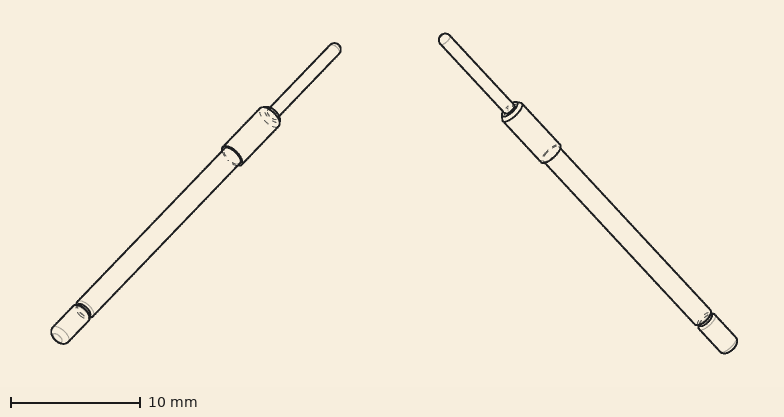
import cadquery as cq
import math

length = 35.3
front = length / 2
rear = -length / 2

pin_length = 8.33
pin_radius = 0.5
pin_tip_round = 0.45

collar_length = 5.0
collar_radius = 2.0 / 2
collar_chamfer_length = 0.32
collar_chamfer_depth = 0.2

barrel_radius = 1.65 / 2
barrel_end_round = 0.4
groove_center = rear + 3.2
groove_floor = 0.2
groove_shoulder = 0.18

collar_front = front - pin_length
collar_rear = collar_front - collar_length


def rod(radius, y_start, y_end):
    """Solid cylinder on the Y axis between two stations."""
    return cq.Workplane("XZ", origin=(0, y_end, 0)).circle(radius).extrude(y_end - y_start)


def crimp_groove():
    """Ring cutter with a narrow flat floor between two convex quarter-round shoulders."""
    half_floor = groove_floor / 2
    half_width = half_floor + groove_shoulder
    floor_radius = barrel_radius - groove_shoulder
    diagonal = groove_shoulder * math.sqrt(0.5)
    mid_radius = floor_radius + diagonal
    mid_y = half_width - diagonal
    return (
        cq.Workplane("XY", origin=(0, groove_center, 0))
        .moveTo(barrel_radius, -half_width)
        .threePointArc((mid_radius, -mid_y), (floor_radius, -half_floor))
        .lineTo(floor_radius, half_floor)
        .threePointArc((mid_radius, mid_y), (barrel_radius, half_width))
        .close()
        .revolve(360, (0, 0, 0), (0, 1, 0))
    )


pin = rod(pin_radius, collar_front, front).faces(">Y").edges().fillet(pin_tip_round)
collar = rod(collar_radius, collar_rear, collar_front)
collar = collar.faces(">Y").edges().chamfer(collar_chamfer_length, collar_chamfer_depth)
barrel = rod(barrel_radius, rear, collar_rear).faces("<Y").edges().fillet(barrel_end_round)

result = barrel.union(collar).union(pin).cut(crimp_groove())